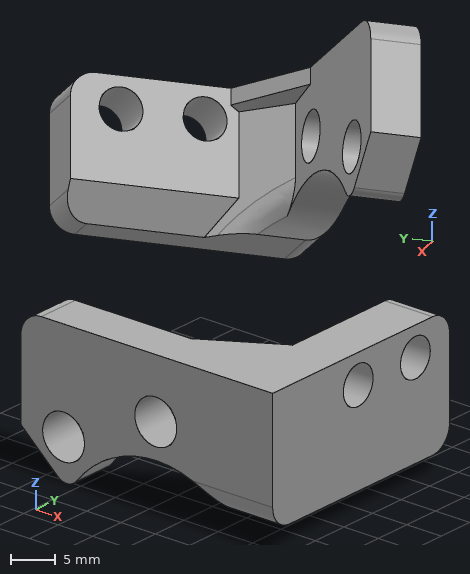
import cadquery as cq
import math

length = 36.7
depth = 31.0
height = 19.38
plate_thickness = 6.02
arm_width = 7.0
corner_radius = 3.0

left_slope_top = 5.35
left_slope_angle = 42.0
tip_radius = 1.87
slope_overrun = 3.0
saddle_radius = 14.5
saddle_x = 19.67
saddle_top = 6.42
plate_hole_diameter = 6.1
upper_hole_z = 11.15
lower_hole_x = 6.25
lower_hole_z = 5.58

arm_bottom = 2.42
arm_bevel_width = 3.0
arm_bevel_height = 4.05
arm_hole_diameter = 5.2
arm_hole_z = 15.38
arm_hole_first_y = 14.97
arm_hole_spacing = 10.02

lip_length = 9.87
lip_width = 5.9
lip_bottom = 17.35
gusset_top = 16.65
gusset_leg = 4.95
selection_margin = 0.35

arm_x = length - arm_width
saddle_z = saddle_top - saddle_radius


def box(x_min, x_max, y_min, y_max, z_min, z_max):
    size = (x_max - x_min, y_max - y_min, z_max - z_min)
    return cq.Workplane("XY").box(*size, centered=False).translate((x_min, y_min, z_min))


def web_outline(along_plate, along_arm):
    """Corner triangle between the plate and the arm, reaching the outer faces of both."""
    return [
        (arm_x - along_plate, 0),
        (arm_x - along_plate, plate_thickness),
        (arm_x, plate_thickness + along_arm),
        (length, plate_thickness + along_arm),
        (length, 0),
    ]


def hole_along_y(x, z, radius):
    return cq.Workplane("XZ").center(x, z).circle(radius).extrude(-depth)


def make_plate():
    slope = math.tan(math.radians(left_slope_angle))
    slope_end_x = left_slope_top / slope + slope_overrun
    slope_end_z = left_slope_top - slope_end_x * slope
    outline = [
        (0, height),
        (0, left_slope_top),
        (slope_end_x, slope_end_z),
        (saddle_x, slope_end_z),
        (saddle_x, arm_bottom),
        (length, arm_bottom),
        (length, height),
    ]
    plate = cq.Workplane("XZ").polyline(outline).close().extrude(-plate_thickness)
    plate = plate.cut(hole_along_y(saddle_x, saddle_z, saddle_radius))
    plate = plate.edges("|Y").edges("<Z").fillet(tip_radius)
    plate = plate.edges("|Y and <X and >Z").fillet(corner_radius)
    return plate


def make_arm():
    arm = box(arm_x, length, 0, depth, arm_bottom, height)
    arm = arm.edges("|X and >Y").fillet(corner_radius)
    bevel = (
        cq.Workplane("XZ")
        .moveTo(arm_x, arm_bottom)
        .lineTo(arm_x + arm_bevel_width, arm_bottom)
        .lineTo(arm_x, arm_bottom + arm_bevel_height)
        .close()
        .extrude(-depth)
    )
    return arm.cut(bevel)


def make_gusset():
    """45 degree web whose lower edge is rounded into the saddle."""
    outline = [
        (arm_x - gusset_leg, 0),
        (arm_x - gusset_leg, plate_thickness),
        (length, plate_thickness + gusset_leg + arm_width),
        (length, 0),
    ]
    gusset = (
        cq.Workplane("XY", origin=(0, 0, arm_bottom))
        .polyline(outline)
        .close()
        .extrude(gusset_top - arm_bottom)
    )
    gusset = gusset.cut(hole_along_y(saddle_x, saddle_z, saddle_radius))
    rounded_edge = cq.selectors.BoxSelector(
        (
            arm_x - gusset_leg - selection_margin,
            plate_thickness - selection_margin,
            arm_bottom - selection_margin,
        ),
        (arm_x + selection_margin, plate_thickness + gusset_leg + selection_margin, saddle_top),
        boundingbox=True,
    )
    return gusset.edges(rounded_edge).edges("not(#Z or |Z)").fillet(corner_radius)


def make_lip():
    lip = (
        cq.Workplane("XY", origin=(0, 0, lip_bottom))
        .polyline(web_outline(lip_length, lip_width))
        .close()
        .extrude(height - lip_bottom)
    )
    flare = (
        cq.Workplane("XY", origin=(0, 0, gusset_top))
        .polyline(web_outline(gusset_leg, gusset_leg))
        .close()
        .workplane(offset=lip_bottom - gusset_top)
        .polyline(web_outline(lip_length, lip_width))
        .close()
        .loft(ruled=True)
    )
    return lip.union(flare)


def front_edge_rounding():
    """Waste removed to round the lower front edge to the right of the saddle."""
    waste = box(saddle_x, length, 0, corner_radius, arm_bottom, arm_bottom + corner_radius)
    round_bar = (
        cq.Workplane("YZ")
        .center(corner_radius, arm_bottom + corner_radius)
        .circle(corner_radius)
        .extrude(length)
    )
    return waste.cut(round_bar)


result = make_plate().union(make_arm()).union(make_gusset()).union(make_lip())
result = result.cut(front_edge_rounding())

for x, z in [(lower_hole_x, lower_hole_z), (saddle_x, upper_hole_z)]:
    result = result.cut(hole_along_y(x, z, plate_hole_diameter / 2))

for index in range(2):
    hole_y = arm_hole_first_y + index * arm_hole_spacing
    hole = cq.Workplane("YZ").center(hole_y, arm_hole_z).circle(arm_hole_diameter / 2).extrude(length)
    result = result.cut(hole)